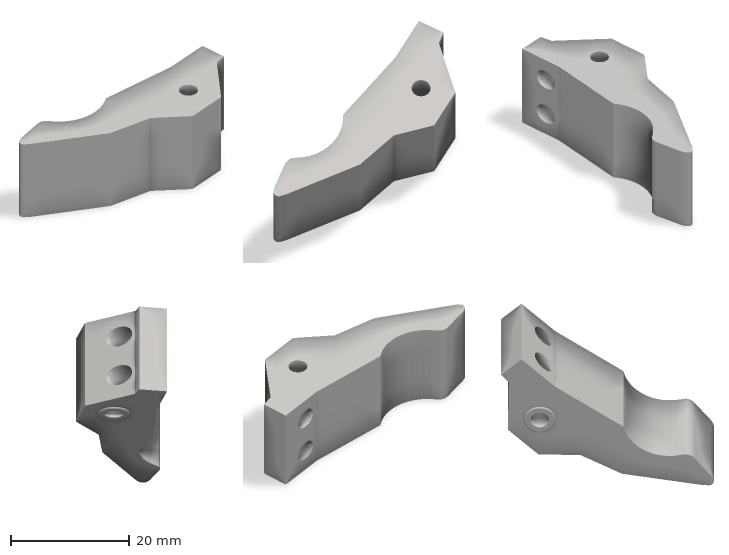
import cadquery as cq
import math

thickness = 15.05
length = 41.85
width = 18.45

head_left = 6.25
head_left_bottom = 33.6
head_right = 11.0
shoulder = (11.3, 39.7)
side_top = 32.5
side_bottom = 25.07
neck_top = (13.45, 20.0)
neck_bottom = (11.18, 12.22)

recess_top = (3.95, 19.42)
recess_middle = (5.15, 15.0)
recess_bottom = (1.95, 8.8)
toe_round_start = (0.4, 7.75)
toe_round_middle = (0.13, 7.2)
toe_round_end = (0.0, 6.28)
tip_round_start = (0.95, 0.5)
tip_round_middle = (1.7, 0.0)
tip_round_end = (2.43, 0.35)
back_bevel_top = (3.05, 1.0)
front_bevel_bottom = (0.8, 0.85)
front_bevel_top = (0.63, 1.45)

pivot = (12.98, 30.4)
pivot_diameter = 3.2
boss_diameter = 5.35
boss_height = 0.25
boss_chamfer = 0.15

oval_length = 4.1
oval_height = 3.47
oval_y = 36.55
oval_heights = (4.1, 11.1)
oval_lean = math.radians(6.6)


def make_body():
    return (
        cq.Workplane("XY")
        .moveTo(head_left, length)
        .lineTo(head_right, length)
        .lineTo(*shoulder)
        .lineTo(width, side_top)
        .lineTo(width, side_bottom)
        .lineTo(*neck_top)
        .lineTo(*neck_bottom)
        .lineTo(*back_bevel_top)
        .lineTo(*tip_round_end)
        .threePointArc(tip_round_middle, tip_round_start)
        .lineTo(*front_bevel_bottom)
        .lineTo(*front_bevel_top)
        .lineTo(*toe_round_end)
        .threePointArc(toe_round_middle, toe_round_start)
        .lineTo(*recess_bottom)
        .threePointArc(recess_middle, recess_top)
        .lineTo(head_left, head_left_bottom)
        .close()
        .extrude(thickness)
    )


def make_boss():
    return (
        cq.Workplane("XY")
        .center(*pivot)
        .circle(boss_diameter / 2)
        .extrude(-boss_height)
        .faces("<Z")
        .chamfer(boss_chamfer)
    )


def make_pivot_hole():
    return (
        cq.Workplane("XY", origin=(*pivot, -boss_height))
        .circle(pivot_diameter / 2)
        .extrude(thickness + boss_height)
    )


def make_oval_hole(height):
    plane = cq.Plane(
        origin=(head_left, oval_y, height),
        xDir=(-math.sin(oval_lean), math.cos(oval_lean), 0),
        normal=(math.cos(oval_lean), math.sin(oval_lean), 0),
    )
    return cq.Workplane(plane).ellipse(oval_length / 2, oval_height / 2).extrude(width, both=True)


result = make_body().union(make_boss()).cut(make_pivot_hole())
for height in oval_heights:
    result = result.cut(make_oval_hole(height))